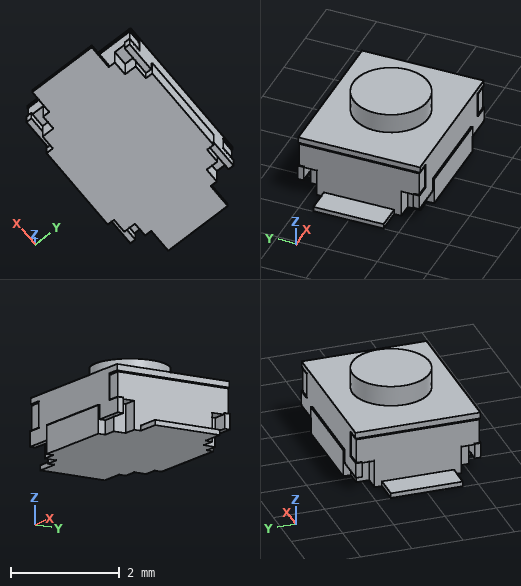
import cadquery as cq

overall_length = 4.0
overall_width = 2.5
overall_height = 1.6

cover_length = 3.0
cover_width = 2.44
cover_top = 1.2
sheet = 0.12
wall_bottom = 0.275
wing_top = 0.575
wing_length = 3.055
window_inner_length = 2.45

housing_length = cover_length
housing_width = 2.4
housing_gap = 0.025
core_length = 2.61
corner_notch_top = 0.55
foot_length = 2.4
waist_width = 1.695

tab_length = 1.8
tab_height = corner_notch_top
terminal_width = 1.41
terminal_thickness = 0.1
button_diameter = 1.5

plate_bottom = cover_top - sheet
housing_top = plate_bottom - housing_gap
inner_width = cover_width - 2 * sheet


def block(length, width, bottom, top):
    """Box centred on the Z axis, between two heights."""
    return (
        cq.Workplane("XY")
        .workplane(offset=bottom)
        .rect(length, width)
        .extrude(top - bottom)
    )


def make_housing():
    waist = block(housing_length, waist_width, 0, corner_notch_top)
    feet = block(foot_length, inner_width, 0, corner_notch_top)
    middle = block(housing_length, inner_width, corner_notch_top, wing_top)
    upper = block(housing_length, housing_width, wing_top, housing_top)
    core = block(core_length, inner_width, wing_top, plate_bottom)
    return waist.union(feet).union(middle).union(upper).union(core)


def make_cover():
    plate = block(cover_length, cover_width, plate_bottom, cover_top)
    wall = block(window_inner_length, cover_width, wall_bottom, plate_bottom)
    wings = block(wing_length, cover_width, wall_bottom, wing_top)
    between_walls = block(overall_length, inner_width, wall_bottom, plate_bottom)
    return plate.union(wall.union(wings).cut(between_walls))


def make_button():
    return (
        cq.Workplane("XY")
        .workplane(offset=plate_bottom)
        .circle(button_diameter / 2)
        .extrude(overall_height - plate_bottom)
    )


side_tabs = block(tab_length, overall_width, 0, tab_height)
terminals = block(overall_length, terminal_width, 0, terminal_thickness)

result = (
    make_housing()
    .union(make_cover())
    .union(side_tabs)
    .union(terminals)
    .union(make_button())
)